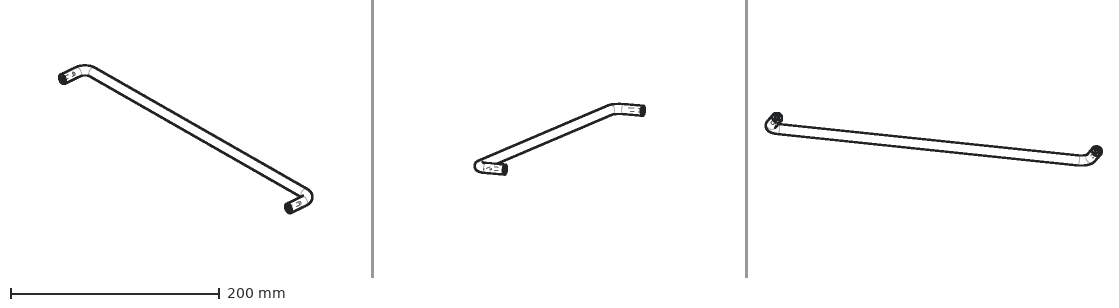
import cadquery as cq

length = 330.0
depth = 35.0
rod_diameter = 10.0
bend_radius = 10.0
hole_diameter = 3.3
hole_mouth_diameter = 5.0
hole_depth = 15.0

rod_radius = rod_diameter / 2
leg_x = length / 2 - rod_radius
leg_end_y = -depth / 2
grip_y = depth / 2 - rod_radius
countersink_depth = (hole_mouth_diameter - hole_diameter) / 2
bend_start_y = grip_y - bend_radius
grip_half_length = leg_x - bend_radius


def handle_rod():
    """Round rod swept along the leg, bend, grip, bend, leg centreline."""
    centreline = (
        cq.Workplane("XY")
        .moveTo(-leg_x, leg_end_y)
        .lineTo(-leg_x, bend_start_y)
        .radiusArc((-grip_half_length, grip_y), bend_radius)
        .lineTo(grip_half_length, grip_y)
        .radiusArc((leg_x, bend_start_y), bend_radius)
        .lineTo(leg_x, leg_end_y)
    )
    start = cq.Workplane("XZ", origin=(-leg_x, leg_end_y, 0))
    return start.circle(rod_radius).sweep(centreline)


def mounting_hole(x):
    """Blind, countersunk hole running from the end face of a leg along its axis."""
    end_face = cq.Workplane("XZ", origin=(x, leg_end_y, 0))
    bore = end_face.circle(hole_diameter / 2).extrude(-hole_depth)
    countersink = (
        end_face.circle(hole_mouth_diameter / 2)
        .workplane(offset=-countersink_depth)
        .circle(hole_diameter / 2)
        .loft(combine=False)
    )
    return bore.union(countersink)


result = handle_rod()
for x in (-leg_x, leg_x):
    result = result.cut(mounting_hole(x))